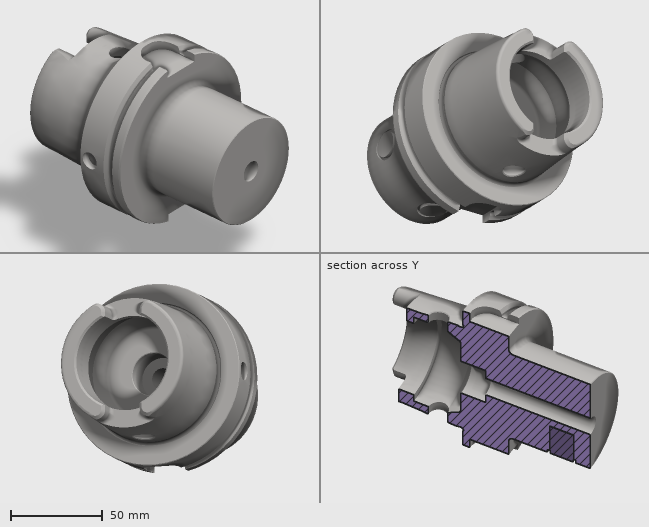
import cadquery as cq
import math


total_length = 129.8
taper_length = 49.8
flange_width = 29.1
front_x = -taper_length
rear_x = total_length - taper_length

taper_front_radius = 35.6
taper_rear_radius = 38.0
taper_end_x = -3.4
nose_radius = 1.7
neck_radius = 37.6
neck_start_x = -1.8

undercut_start_x = -0.8
undercut_fillet = 1.4
undercut_outer_radius = 39.6

flange_diameter = 100.3
flange_radius = flange_diameter / 2
flange_front_chamfer = 0.4
flange_rear_chamfer_length = 1.0
flange_rear_chamfer_height = 0.4
groove_center_x = 20.2
groove_floor_radius = 46.1
groove_floor_width = 3.6
groove_floor_fillet = 0.6
groove_shoulder_radius = 47.9
groove_flank_angle = 30.0

shank_radius = 31.5
shank_root_fillet = 2.7
shank_end_chamfer = 0.4

bore_radius = 26.5
bore_chamfer = 1.0
bore_length = 19.7
clamp_groove_radius = 31.2
clamp_groove_end_x = -10.6
cavity_floor_x = -1.0
cavity_floor_radius = 26.0
cavity_floor_fillet = 2.0

coolant_radius = 11.7
coolant_chamfer = 0.4
coolant_depth = 15.6
passage_radius = 6.0

slot_width = 20.0
slot_depths = {1: 15.0, -1: 10.0}
slot_floor_fillet = 2.0
slot_mouth_chamfer = 1.7
lug_corner_radius = 5.0
lug_crest_height = 32.0
lug_slope_angle = 18.0
slot_outer_y = 26.0
slot_outer_z = 41.5

access_x = -15.0
access_radius = 6.0
access_chamfer = 0.5

keyway_widths = {1: 22.2, -1: 20.0}
keyway_start_x = 4.8
keyway_floor_height = 44.1
keyway_corner_radius = 9.1

chip_x = 7.1
chip_radius = 5.0
chip_depth = 4.5

screw_x = 61.9
screw_radius = 7.3
screw_length = 20.0
screw_angles = (0, -90)
counterbore_radius = 8.7
counterbore_depth = 2.0


def about_axis(shape, angle):
    """Turn a shape about the tool axis."""
    return shape.rotate((0, 0, 0), (1, 0, 0), angle)


def revolved(profile):
    """Revolve an (X, radius) profile about the tool axis."""
    return profile.revolve(360, (0, 0, 0), (1, 0, 0))


def arc_point(center, radius, degrees):
    """Point on a circle at an angle counted from the first coordinate."""
    angle = math.radians(degrees)
    return (center[0] + radius * math.cos(angle), center[1] + radius * math.sin(angle))


def outer_shape():
    """Taper, neck, flange and shank as one solid of revolution."""
    nose_center = (front_x + nose_radius, taper_front_radius - nose_radius)
    undercut_center = (undercut_start_x, neck_radius + undercut_fillet)
    root_center = (flange_width + shank_root_fillet, shank_radius + shank_root_fillet)
    profile = (
        cq.Workplane("XY")
        .moveTo(front_x, 0)
        .lineTo(*arc_point(nose_center, nose_radius, 180))
        .threePointArc(arc_point(nose_center, nose_radius, 135), arc_point(nose_center, nose_radius, 90))
        .lineTo(taper_end_x, taper_rear_radius)
        .lineTo(neck_start_x, neck_radius)
        .lineTo(undercut_start_x, neck_radius)
        .threePointArc(
            arc_point(undercut_center, undercut_fillet, -45),
            arc_point(undercut_center, undercut_fillet, 0),
        )
        .lineTo(0, undercut_outer_radius)
        .lineTo(0, flange_radius - flange_front_chamfer)
        .lineTo(flange_front_chamfer, flange_radius)
        .lineTo(flange_width - flange_rear_chamfer_length, flange_radius)
        .lineTo(flange_width, flange_radius - flange_rear_chamfer_height)
        .lineTo(*arc_point(root_center, shank_root_fillet, 180))
        .threePointArc(
            arc_point(root_center, shank_root_fillet, 225),
            arc_point(root_center, shank_root_fillet, 270),
        )
        .lineTo(rear_x - shank_end_chamfer, shank_radius)
        .lineTo(rear_x, shank_radius - shank_end_chamfer)
        .lineTo(rear_x, 0)
        .close()
    )
    return revolved(profile)


def gripper_groove():
    """Ring cutter: sloping flanks, then a straight-sided channel with rounded floor corners."""
    half_floor = groove_floor_width / 2
    flank_height = flange_radius - groove_shoulder_radius
    half_mouth = half_floor + flank_height * math.tan(math.radians(groove_flank_angle))
    fillet_x = half_floor - groove_floor_fillet
    fillet_r = groove_floor_radius + groove_floor_fillet
    left_center = (groove_center_x - fillet_x, fillet_r)
    right_center = (groove_center_x + fillet_x, fillet_r)
    profile = (
        cq.Workplane("XY")
        .moveTo(groove_center_x - half_mouth, flange_radius)
        .lineTo(groove_center_x - half_floor, groove_shoulder_radius)
        .lineTo(*arc_point(left_center, groove_floor_fillet, 180))
        .threePointArc(
            arc_point(left_center, groove_floor_fillet, 225),
            arc_point(left_center, groove_floor_fillet, 270),
        )
        .lineTo(*arc_point(right_center, groove_floor_fillet, 270))
        .threePointArc(
            arc_point(right_center, groove_floor_fillet, 315),
            arc_point(right_center, groove_floor_fillet, 0),
        )
        .lineTo(groove_center_x + half_floor, groove_shoulder_radius)
        .lineTo(groove_center_x + half_mouth, flange_radius)
        .close()
    )
    return revolved(profile)


def cavity():
    """Chamfered bore, clamping groove and conical end of the taper, with a rounded floor corner."""
    bore_end_x = front_x + bore_length
    profile = (
        cq.Workplane("XY")
        .moveTo(front_x, 0)
        .lineTo(front_x, bore_radius + bore_chamfer)
        .lineTo(front_x + bore_chamfer, bore_radius)
        .lineTo(bore_end_x, bore_radius)
        .lineTo(bore_end_x, clamp_groove_radius)
        .lineTo(clamp_groove_end_x, clamp_groove_radius)
        .lineTo(cavity_floor_x, cavity_floor_radius)
        .lineTo(cavity_floor_x, 0)
        .close()
    )
    return revolved(profile).faces(">X").edges().fillet(cavity_floor_fillet)


def coolant_bore():
    """Chamfered coolant connection in the cavity floor and the passage on to the shank end."""
    coolant_end_x = cavity_floor_x + coolant_depth
    profile = (
        cq.Workplane("XY")
        .moveTo(cavity_floor_x, 0)
        .lineTo(cavity_floor_x, coolant_radius + coolant_chamfer)
        .lineTo(cavity_floor_x + coolant_chamfer, coolant_radius)
        .lineTo(coolant_end_x, coolant_radius)
        .lineTo(coolant_end_x, passage_radius)
        .lineTo(rear_x, passage_radius)
        .lineTo(rear_x, 0)
        .close()
    )
    return revolved(profile)


def slot_profile(x):
    """Drive slot section at X = x: straight walls, rounded lug corners and sloping lug crests."""
    half = slot_width / 2
    center = (half + lug_corner_radius, lug_crest_height - lug_corner_radius)
    slope_start_angle = 90 - lug_slope_angle
    corner_middle = arc_point(center, lug_corner_radius, 135)
    crest = arc_point(center, lug_corner_radius, 90)
    crest_middle = arc_point(center, lug_corner_radius, 90 - lug_slope_angle / 2)
    slope_start = arc_point(center, lug_corner_radius, slope_start_angle)
    slope_drop = (slot_outer_y - slope_start[0]) * math.tan(math.radians(lug_slope_angle))
    slope_end = (slot_outer_y, slope_start[1] - slope_drop)

    def mirrored(point):
        return (-point[0], point[1])

    return (
        cq.Workplane("YZ", origin=(x, 0, 0))
        .moveTo(half, 0)
        .lineTo(half, center[1])
        .threePointArc(corner_middle, crest)
        .threePointArc(crest_middle, slope_start)
        .lineTo(*slope_end)
        .lineTo(slot_outer_y, slot_outer_z)
        .lineTo(-slot_outer_y, slot_outer_z)
        .lineTo(*mirrored(slope_end))
        .lineTo(*mirrored(slope_start))
        .threePointArc(mirrored(crest_middle), mirrored(crest))
        .threePointArc(mirrored(corner_middle), (-half, center[1]))
        .lineTo(-half, 0)
        .close()
    )


def drive_slot(side):
    """Drive slot cutter with a rounded floor corner and a mouth that widens at 45 degrees."""
    slot = slot_profile(front_x).extrude(slot_depths[side])
    slot = slot.faces(">X").edges("not <Z").fillet(slot_floor_fillet)
    mouth = slot_profile(front_x + slot_mouth_chamfer).extrude(-slot_mouth_chamfer, taper=-45)
    return about_axis(slot.union(mouth), 0 if side > 0 else 180)


def access_hole():
    """Cross hole cutter along Z through the whole taper."""
    reach = 2 * taper_rear_radius
    return cq.Workplane("XY", origin=(access_x, 0, -reach / 2)).circle(access_radius).extrude(reach)


def chamfer_access_hole(body):
    """Chamfer the two rims where the access hole meets the outside of the taper."""
    lower = (access_x - access_radius, -access_radius, taper_front_radius)
    upper = (access_x + access_radius, access_radius, taper_rear_radius)
    top_rim = cq.selectors.BoxSelector(lower, upper)
    bottom_rim = cq.selectors.BoxSelector((lower[0], lower[1], -upper[2]), (upper[0], upper[1], -lower[2]))
    return body.edges(top_rim + bottom_rim).chamfer(access_chamfer)


def keyway(side):
    """Flange keyway cutter, open towards the shank, with rounded corners at its closed end."""
    length = flange_width - keyway_start_x
    height = flange_radius - keyway_floor_height
    slot = (
        cq.Workplane("XY", origin=(keyway_start_x, 0, keyway_floor_height))
        .box(length, keyway_widths[side], height, centered=(False, True, False))
        .edges("|Z and <X")
        .fillet(keyway_corner_radius)
    )
    return about_axis(slot, 0 if side > 0 else 180)


def chip_pocket():
    """Round blind pocket cutter on the -Y side of the flange."""
    floor_y = chip_depth - flange_radius
    return cq.Workplane("XZ", origin=(chip_x, floor_y, 0)).circle(chip_radius).extrude(chip_depth)


def radial_cylinder(radius, length):
    """Cylinder on the +Y axis at the screw position, from the shank surface inwards."""
    return cq.Workplane("XZ", origin=(screw_x, shank_radius, 0)).circle(radius).extrude(length)


def screw_hole(angle):
    """Counterbored blind hole cutter, as deep as the screw is long."""
    hole = radial_cylinder(screw_radius, screw_length)
    counterbore = radial_cylinder(counterbore_radius, counterbore_depth)
    return about_axis(hole.union(counterbore), angle)


def clamping_screw(angle):
    """Plain clamping screw seated on the hole floor, with its outer end level with the shank."""
    return about_axis(radial_cylinder(screw_radius, screw_length), angle)


def tool_holder():
    """The complete holder without its screws."""
    body = outer_shape().cut(gripper_groove()).cut(cavity()).cut(coolant_bore())
    body = chamfer_access_hole(body.cut(access_hole()))
    for side in (1, -1):
        body = body.cut(drive_slot(side)).cut(keyway(side))
    body = body.cut(chip_pocket())
    for angle in screw_angles:
        body = body.cut(screw_hole(angle))
    return body.solids()


holder = tool_holder()
screws = [clamping_screw(angle) for angle in screw_angles]

result = cq.Compound.makeCompound([holder.val(), *[screw.val() for screw in screws]])